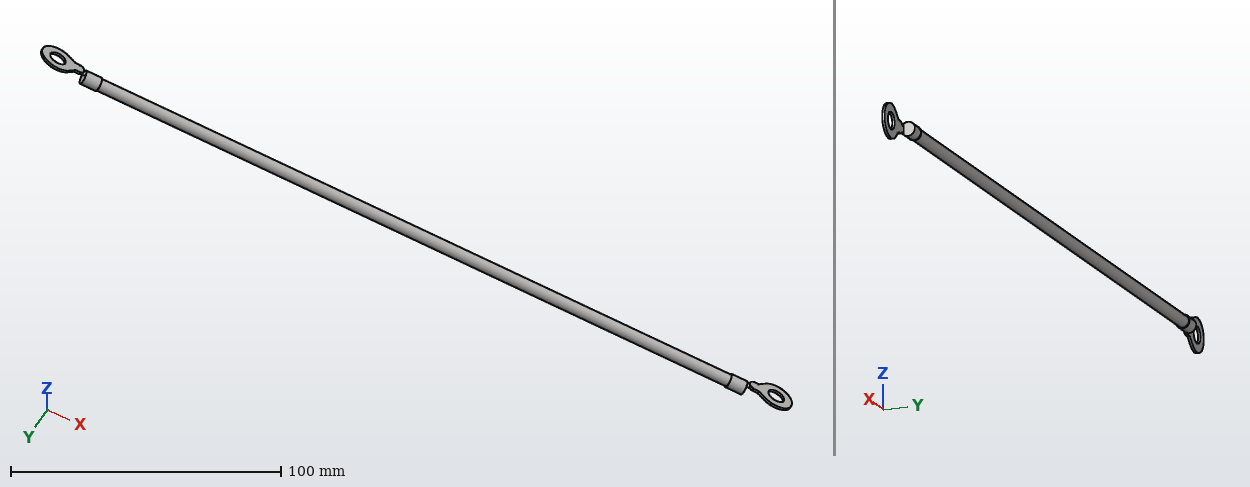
import cadquery as cq
import math

total_length = 318.21
cable_diameter = 4.83
barrel_diameter = 5.5
head_diameter = 13.45
hole_diameter = 6.6

plate_thickness = 1.0
stem_width = 4.83
flare_angle = math.radians(42)

barrel_start = 133.6
barrel_end = 140.2
stem_tip = 141.2
stem_start = 142.9
head_center = (total_length - head_diameter) / 2

plate_front = -barrel_diameter / 2


def cylinder_along_x(start, end, diameter):
    return cq.Workplane("YZ", origin=(start, 0, 0)).circle(diameter / 2).extrude(end - start)


def plate_sketch():
    """Workplane on the flat -Y face of the plate, with X and Z as its axes."""
    return cq.Workplane("XZ", origin=(0, plate_front, 0))


def neck():
    """Segment of the cable's round, cut to plate thickness, that joins the barrel to the stem."""
    length = stem_start - barrel_end
    middle = (barrel_end + stem_start) / 2
    strip = plate_sketch().center(middle, 0).rect(length, barrel_diameter).extrude(-plate_thickness)
    return strip.intersect(cylinder_along_x(barrel_end, stem_start, cable_diameter))


def tongue():
    """Round-ended stem that flares along tangent lines into the ring head with its stud hole."""
    head_radius = head_diameter / 2
    half_stem = stem_width / 2
    tangent_x = head_center - head_radius * math.sin(flare_angle)
    tangent_z = head_radius * math.cos(flare_angle)
    stem_end = tangent_x - (tangent_z - half_stem) / math.tan(flare_angle)
    outline = (
        plate_sketch()
        .moveTo(stem_start, -half_stem)
        .lineTo(stem_end, -half_stem)
        .lineTo(tangent_x, -tangent_z)
        .threePointArc((head_center + head_radius, 0), (tangent_x, tangent_z))
        .lineTo(stem_end, half_stem)
        .lineTo(stem_start, half_stem)
        .threePointArc((stem_tip, 0), (stem_start, -half_stem))
        .close()
    )
    hole = plate_sketch().center(head_center, 0).circle(hole_diameter / 2)
    return outline.extrude(-plate_thickness).cut(hole.extrude(-plate_thickness))


def lug():
    barrel = cylinder_along_x(barrel_start, barrel_end, barrel_diameter)
    return barrel.union(neck()).union(tongue())


cable = cylinder_along_x(-barrel_start, barrel_start, cable_diameter)
right_lug = lug()
left_lug = right_lug.mirror("YZ")
result = cable.union(right_lug).union(left_lug)